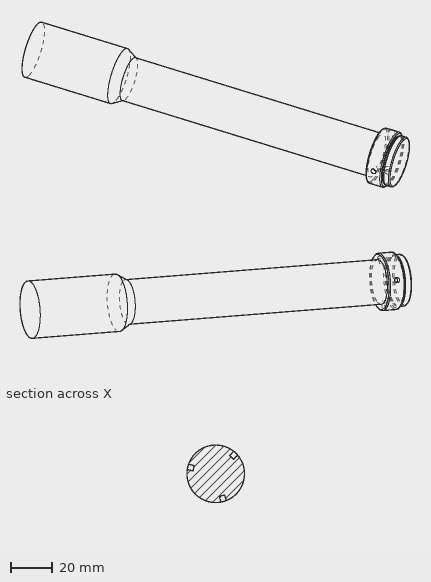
import cadquery as cq

total_length = 193.1
head_diameter = 28.0
head_length = 45.2
taper_length = 5.2
tube_diameter = 21.8

collar_diameter = head_diameter
collar_start = 181.0
collar_length = 8.1
collar_chamfer = 0.5
spigot_diameter = 25.3
spigot_chamfer = 0.5
relief_diameter = 24.3
relief_width = 0.8

hole_count = 3
hole_diameter = 2.5
hole_depth = 2.9
hole_position = 185.0
first_hole_angle = 46.0


def cylinder(start, length, diameter):
    """Solid cylinder along X."""
    return cq.Workplane("YZ", origin=(start, 0, 0)).circle(diameter / 2).extrude(length)


def make_head():
    """Large handle end with a cone leading down to the tube."""
    head = cylinder(0, head_length, head_diameter)
    taper = (
        cq.Workplane("YZ", origin=(head_length, 0, 0))
        .circle(head_diameter / 2)
        .workplane(offset=taper_length)
        .circle(tube_diameter / 2)
        .loft()
    )
    return head.union(taper)


def make_collar():
    """Collar with both rims chamfered."""
    collar = cylinder(collar_start, collar_length, collar_diameter)
    return collar.faces("<X or >X").chamfer(collar_chamfer)


def make_spigot():
    """Narrow relief behind the collar, then the chamfered end spigot."""
    collar_end = collar_start + collar_length
    spigot_start = collar_end + relief_width
    relief = cylinder(collar_end, relief_width, relief_diameter)
    spigot = cylinder(spigot_start, total_length - spigot_start, spigot_diameter)
    return relief.union(spigot.faces(">X").chamfer(spigot_chamfer))


def make_screw_hole(angle):
    """Blind radial hole cutter at the given angle about X."""
    hole_floor = collar_diameter / 2 - hole_depth
    return (
        cq.Workplane("XZ", origin=(hole_position, hole_floor, 0))
        .circle(hole_diameter / 2)
        .extrude(-2 * hole_depth)
        .rotate((0, 0, 0), (1, 0, 0), angle)
    )


tube_start = head_length + taper_length
tube = cylinder(tube_start, collar_start - tube_start, tube_diameter)

result = make_head().union(tube).union(make_collar()).union(make_spigot())
for index in range(hole_count):
    hole_angle = first_hole_angle + index * 360 / hole_count
    result = result.cut(make_screw_hole(hole_angle))